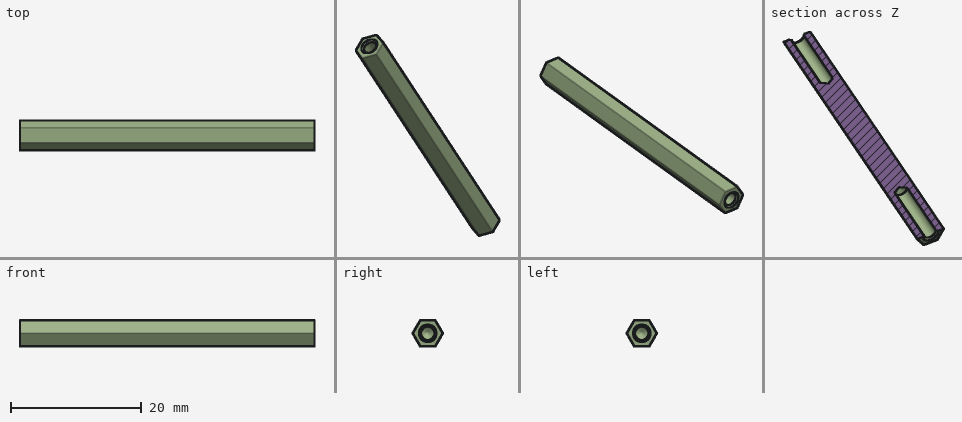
import cadquery as cq
import math

LENGTH = 45.0
ACROSS_FLATS = 4.0
SIDES = 6
CORNER_RADIUS = 0.1

HOLE_DIAMETER = 2.05
MOUTH_DIAMETER = 2.65
HOLE_DEPTH = 10.0
COUNTERSINK_ANGLE = 90.0
DRILL_POINT_ANGLE = 118.0


def cone_height(radius_change, included_angle):
    """Axial length of a cone over which its radius changes by radius_change."""
    return radius_change / math.tan(math.radians(included_angle / 2))


def hexagonal_bar():
    """Bar centred on the X axis, flats facing +Z and -Z."""
    across_corners = ACROSS_FLATS / math.cos(math.pi / SIDES)
    bar = cq.Workplane("YZ").polygon(SIDES, across_corners).extrude(LENGTH / 2, both=True)
    return bar.edges().fillet(CORNER_RADIUS)


def end_hole():
    """Countersunk drilled hole that opens on the -X end, as a solid to cut away."""
    hole_radius = HOLE_DIAMETER / 2
    mouth_radius = MOUTH_DIAMETER / 2
    end_x = -LENGTH / 2
    countersink_x = end_x + cone_height(mouth_radius - hole_radius, COUNTERSINK_ANGLE)
    bottom_x = end_x + HOLE_DEPTH
    tip_x = bottom_x + cone_height(hole_radius, DRILL_POINT_ANGLE)
    half_section = (
        cq.Workplane("XY")
        .moveTo(end_x, 0)
        .lineTo(end_x, mouth_radius)
        .lineTo(countersink_x, hole_radius)
        .lineTo(bottom_x, hole_radius)
        .lineTo(tip_x, 0)
        .close()
    )
    return half_section.revolve(360, (0, 0, 0), (1, 0, 0))


left_hole = end_hole()
right_hole = left_hole.mirror("YZ")
result = hexagonal_bar().cut(left_hole).cut(right_hole)